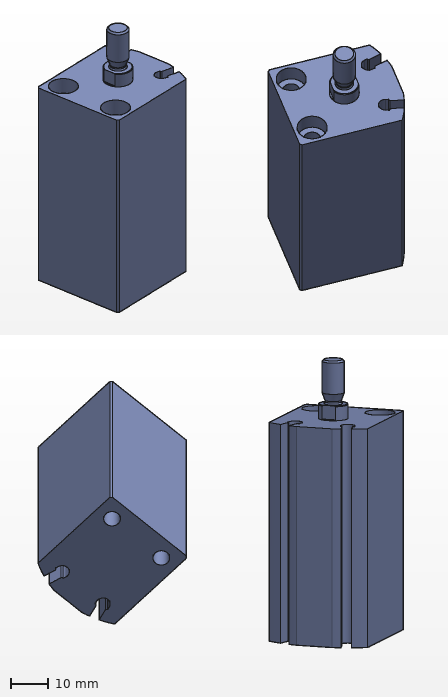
import cadquery as cq
import math

width = 28.0
depth = 32.0
height = 59.5
front_y = -17.0
back_y = front_y + depth
corner_chamfer = 0.5

crown_flat_half = 5.0
crown_radius = 28.3
crown_side_y = 11.7

hole_spacing = 18.0
hole_y = -12.0
hole_diameter = 4.5
counterbore_diameter = 8.0
counterbore_depth = 4.5

slot_x = 7.45
slot_y = 9.2
slot_mouth_width = 2.8
groove_width = 3.8
groove_shoulder = 0.9
slot_tilt = 15.0
slot_length = 10.0

collar_diameter = 8.0
collar_height = 4.0
collar_chamfer = 0.2
flat_width = 7.0
flat_start = 0.25
neck_diameter = 4.5
neck_flare = 0.25
neck_bottom = 4.5
neck_top = 4.9
thread_diameter = 6.0
thread_start = 7.0
tip_chamfer = 0.5
rod_length = 16.0


def make_block():
    """Extruded outline with chamfered front corners and a crowned back."""
    half = width / 2
    run = half - crown_flat_half
    drop = back_y - crown_side_y
    chord = math.hypot(run, drop)
    sagitta = crown_radius - math.sqrt(crown_radius**2 - (chord / 2) ** 2)
    mid_x = (half + crown_flat_half) / 2 + sagitta * drop / chord
    mid_y = (back_y + crown_side_y) / 2 + sagitta * run / chord
    return (
        cq.Workplane("XY")
        .moveTo(-half + corner_chamfer, front_y)
        .lineTo(half - corner_chamfer, front_y)
        .lineTo(half, front_y + corner_chamfer)
        .lineTo(half, crown_side_y)
        .threePointArc((mid_x, mid_y), (crown_flat_half, back_y))
        .lineTo(-crown_flat_half, back_y)
        .threePointArc((-mid_x, mid_y), (-half, crown_side_y))
        .lineTo(-half, front_y + corner_chamfer)
        .close()
        .extrude(height)
    )


def make_sensor_slot(side):
    """Round-bottomed groove with a narrower mouth, leaning outward on the given side of X."""
    plane = cq.Workplane("XY")
    floor = plane.circle(groove_width / 2).extrude(height)
    groove = plane.center(0, groove_shoulder / 2).rect(groove_width, groove_shoulder).extrude(height)
    mouth = plane.center(0, slot_length / 2).rect(slot_mouth_width, slot_length).extrude(height)
    slot = floor.union(groove).union(mouth)
    slot = slot.rotate((0, 0, 0), (0, 0, 1), -side * slot_tilt)
    return slot.translate((side * slot_x, slot_y, 0))


def make_housing():
    """Block with two counterbored holes right through and two slots along its full height."""
    housing = (
        make_block()
        .faces(">Z")
        .workplane(origin=(0, 0, height))
        .pushPoints([(side * hole_spacing / 2, hole_y) for side in (-1, 1)])
        .cboreHole(hole_diameter, counterbore_diameter, counterbore_depth)
    )
    for side in (-1, 1):
        housing = housing.cut(make_sensor_slot(side))
    return housing


def make_rod():
    """Threaded rod end whose collar, with two wrench flats, stands on the top face of the housing."""
    collar_radius = collar_diameter / 2
    neck_radius = neck_diameter / 2
    thread_radius = thread_diameter / 2
    rod = (
        cq.Workplane("XZ")
        .moveTo(0, 0)
        .lineTo(collar_radius, 0)
        .lineTo(collar_radius, collar_height - collar_chamfer)
        .lineTo(collar_radius - collar_chamfer, collar_height)
        .lineTo(neck_radius + neck_flare, collar_height)
        .lineTo(neck_radius, neck_bottom)
        .lineTo(neck_radius, neck_top)
        .lineTo(thread_radius, thread_start)
        .lineTo(thread_radius, rod_length - tip_chamfer)
        .lineTo(thread_radius - tip_chamfer, rod_length)
        .lineTo(0, rod_length)
        .close()
        .revolve(360, (0, 0, 0), (0, 1, 0))
    )
    for side in (-1, 1):
        flat_cut = (
            cq.Workplane("XY", origin=(0, side * (flat_width + collar_diameter) / 2, flat_start))
            .rect(2 * collar_diameter, collar_diameter)
            .extrude(collar_height)
        )
        rod = rod.cut(flat_cut)
    return rod.translate((0, 0, height))


housing = make_housing()
rod = make_rod()
result = cq.Compound.makeCompound([housing.val(), rod.val()])